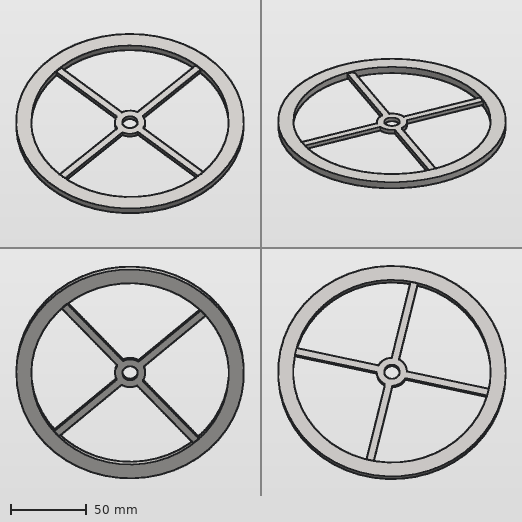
import cadquery as cq

rim_diameter = 150.0
rim_inner_diameter = 130.0
hub_diameter = 20.0
bore_diameter = 10.0
rim_thickness = 5.0
web_thickness = 3.0
spoke_width = 5.0
spoke_count = 4

spoke_start = (hub_diameter + bore_diameter) / 4
spoke_end = (rim_diameter + rim_inner_diameter) / 4
spoke_length = spoke_end - spoke_start


def ring(outer_diameter, inner_diameter, thickness):
    """Flat ring around the Z axis, centred on the XY plane."""
    return (
        cq.Workplane("XY", origin=(0, 0, -thickness / 2))
        .circle(outer_diameter / 2)
        .circle(inner_diameter / 2)
        .extrude(thickness)
    )


def spoke(angle):
    """Straight bar joining the hub to the rim at the given angle."""
    bar = (
        cq.Workplane("XY", origin=(spoke_start + spoke_length / 2, 0, -web_thickness / 2))
        .rect(spoke_length, spoke_width)
        .extrude(web_thickness)
    )
    return bar.rotate((0, 0, 0), (0, 0, 1), angle)


wheel = ring(rim_diameter, rim_inner_diameter, rim_thickness)
wheel = wheel.union(ring(hub_diameter, bore_diameter, web_thickness))
for index in range(spoke_count):
    wheel = wheel.union(spoke(index * 360 / spoke_count))

result = wheel